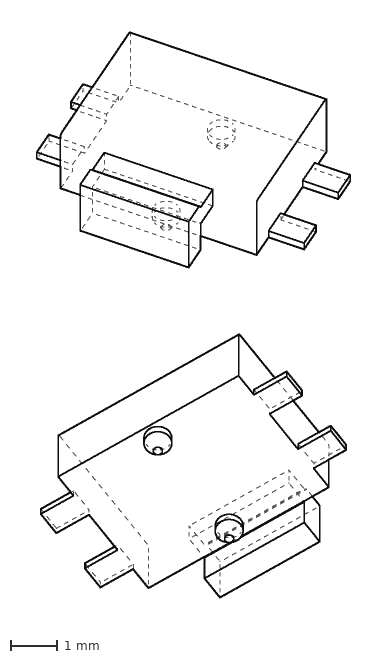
import cadquery as cq

body_width = 4.7
body_depth = 3.495
body_height = 1.65
body_edge_radius = 0.08

overall_width = 6.4
terminal_width = 0.6
terminal_thickness = 0.2
terminal_spacing = 1.7

button_width = 2.6
stem_length = 0.6
stem_height = 0.5
head_length = 0.6
head_bottom = 0.25
head_chamfer = 0.08
stem_top = body_height - 0.1

peg_diameter = 0.6
peg_tip_diameter = 0.2
peg_straight_length = 0.2
peg_length = 0.5
peg_spacing = 2.75


def make_body():
    block = cq.Workplane("XY").box(body_width, body_depth, body_height, centered=(True, True, False))
    return block.faces(">Z").edges("|X").fillet(body_edge_radius)


def make_terminal_pair(y):
    """One bar through the housing forms the left and right terminals."""
    bar = cq.Workplane("XY").box(
        overall_width, terminal_width, terminal_thickness, centered=(True, True, False)
    )
    return bar.translate((0, y, 0))


def make_button():
    body_front = -body_depth / 2
    head_back = body_front - stem_length
    head_height = body_height - head_bottom
    stem = cq.Workplane("XY").box(button_width, stem_length, stem_height, centered=(True, False, False))
    stem = stem.translate((0, head_back, stem_top - stem_height))
    head = cq.Workplane("XY").box(button_width, head_length, head_height, centered=(True, False, False))
    head = head.translate((0, head_back - head_length, head_bottom))
    head = head.faces(">Z").edges(">Y").chamfer(head_chamfer)
    return stem.union(head)


def make_peg(y):
    """Half of the peg section, revolved about the vertical axis."""
    profile = (
        cq.Workplane("XZ")
        .lineTo(peg_diameter / 2, 0)
        .lineTo(peg_diameter / 2, -peg_straight_length)
        .lineTo(peg_tip_diameter / 2, -peg_length)
        .lineTo(0, -peg_length)
        .close()
    )
    return profile.revolve(360, (0, 0, 0), (0, 1, 0)).translate((0, y, 0))


result = make_body().union(make_button())
for side in (-1, 1):
    result = result.union(make_terminal_pair(side * terminal_spacing / 2))
    result = result.union(make_peg(side * peg_spacing / 2))